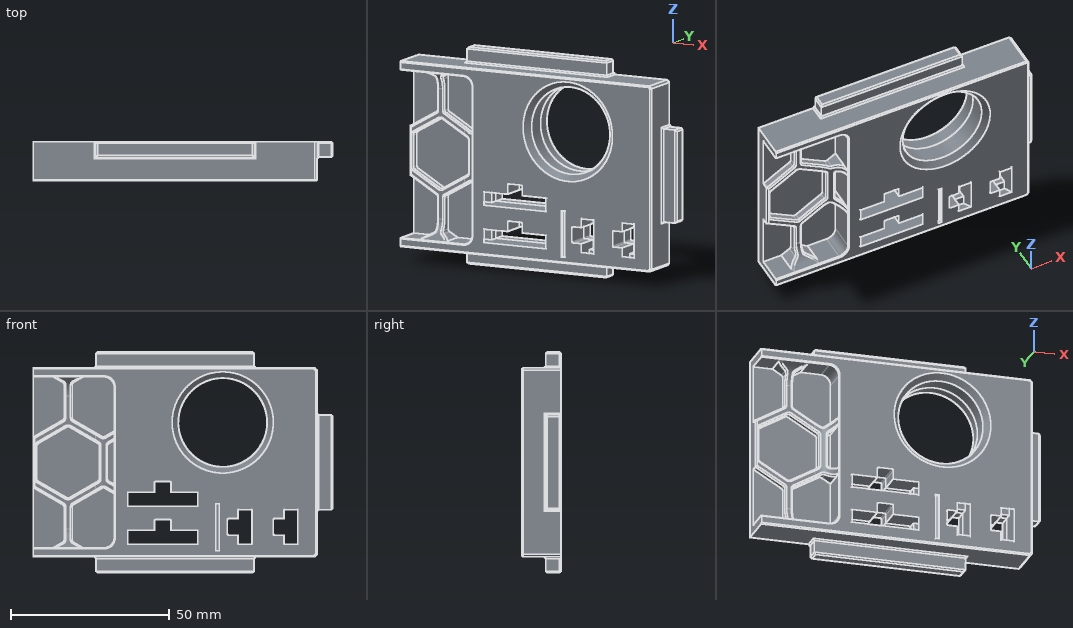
import cadquery as cq
import math

plate_length = 89.7
plate_depth = 12.4
plate_height = 59.8
edge_chamfer = 0.4
end_corner_chamfer = 0.8

chamfer_share = 0.99

tongue_reach = 5.0
tongue_thickness = 4.9
long_tongue_length = 50.0
end_tongue_length = 30.0
tongue_chamfer = 0.55
tongue_flare = 0.5

pocket_length = 25.6
pocket_wall = 2.9
pocket_depth = 9.0
pocket_corner_radius = 3.2
pocket_rim_chamfer = 0.3
pocket_height = plate_height - 2 * pocket_wall
rib_top_depth = 6.3
rib_sweep_radius = 6.0
rib_width = 2.5
rib_chamfer = 0.5
cell_width = 19.8
cell_corner_radius = 1.0
cell_center_x = 11.05
cell_pitch = cell_width + rib_width
cell_row_step = cell_pitch * math.sqrt(3) / 2

bore_x = 59.9
bore_z = 12.6
bore_radius = 14.0
bore_chamfer = 2.0

slot_bar_width = 4.3
slot_key_reach = 3.4
slot_key_width = 5.2
slot_key_radius = 0.4
long_slot_length = 22.0
short_slot_length = 10.8
slot_flare_depth = 5.2
slot_flare_slope = 0.6
long_slot_x = 40.95
long_slot_bases_z = (-13.8, -25.8)
short_slot_bases_x = (69.1, 83.6)
short_slot_z = -20.4

groove_x = 58.2
groove_z = -20.5
groove_width = 1.15
groove_length = 14.9
groove_depth = 1.0

insert_thickness = 4.4
insert_margin = 2.4
insert_front = plate_depth - insert_thickness
insert_left = pocket_length + insert_margin
insert_right = plate_length - insert_margin
insert_height = plate_height - 2 * insert_margin


def block(x_min, x_max, y_min, y_max, height):
    """Box between the given X and Y limits, centred on Z."""
    return (
        cq.Workplane("XY")
        .box(x_max - x_min, y_max - y_min, height, centered=(False, False, True))
        .translate((x_min, y_min, 0))
    )


def front_plane(depth=0.0):
    """Workplane parallel to the front face; positive extrusions run toward the front (-Y)."""
    return cq.Workplane("XZ", origin=(0, depth, 0))


def make_tongue(length):
    """Tongue along X that rises from Z = 0, with a flared foot and chamfered tip."""
    front = plate_depth - tongue_thickness
    tongue = (
        cq.Workplane("XY")
        .box(length, tongue_thickness, tongue_reach, centered=(True, False, False))
        .translate((0, front, 0))
        .edges(">Z or (|Z and >Y)")
        .chamfer(tongue_chamfer)
    )
    foot = (
        cq.Workplane("XY")
        .box(length + 2 * tongue_flare, tongue_thickness + tongue_flare, tongue_flare,
             centered=(True, False, False))
        .translate((0, front - tongue_flare, 0))
        .edges(">Z and (<X or >X or <Y)")
        .chamfer(tongue_flare * chamfer_share)
    )
    return tongue.union(foot)


def make_pocket():
    """Pocket volume with rounded inner corners and a rim that widens toward the front face."""
    outline = block(-pocket_length, pocket_length, 0, pocket_depth, pocket_height)
    rim = block(-pocket_length, pocket_length + pocket_rim_chamfer, 0, pocket_rim_chamfer,
                pocket_height + 2 * pocket_rim_chamfer)
    outline = outline.edges("|Y and >X").fillet(pocket_corner_radius)
    rim = rim.edges("|Y and >X").fillet(pocket_corner_radius + pocket_rim_chamfer)
    rim = rim.faces(">Y").edges("not <X").chamfer(pocket_rim_chamfer * chamfer_share)
    return outline.union(rim)


def make_cells():
    """Hexagonal cells, upright on their points, that surround and include the middle cell."""
    centers = [(cell_center_x, 0)]
    for side in (-1, 1):
        centers.append((cell_center_x + cell_pitch * side, 0))
        for row in (-1, 1):
            centers.append((cell_center_x + cell_pitch / 2 * side, cell_row_step * row))
    cell = (
        front_plane(pocket_depth)
        .transformed(rotate=(0, 0, 30))
        .polygon(6, cell_width * 2 / math.sqrt(3))
        .extrude(pocket_depth)
        .edges("|Y")
        .fillet(cell_corner_radius)
    )
    cells = cell.translate((centers[0][0], 0, centers[0][1]))
    for x, z in centers[1:]:
        cells = cells.union(cell.translate((x, 0, z)))
    return cells


def rib_top_edges():
    """Selector for the outer edges of the rib tops, without the lines where the sweeps begin."""
    gap = 0.01
    half_height = pocket_height / 2
    sweep_x = pocket_length - rib_sweep_radius
    inside = cq.selectors.BoxSelector(
        (-gap, gap, gap - half_height),
        (pocket_length - gap, rib_top_depth + gap, half_height - gap),
    )
    side_sweep_start = cq.selectors.BoxSelector(
        (sweep_x - gap, 0, -half_height), (sweep_x + gap, pocket_depth, half_height)
    )
    return inside - side_sweep_start - cq.selectors.StringSyntaxSelector("|X")


def make_ribs():
    """Honeycomb ribs whose tops sweep up to the pocket walls."""
    clearance = (
        block(-pocket_length, pocket_length, -rib_sweep_radius, rib_top_depth, pocket_height)
        .edges(">Y and (>X or >Z or <Z)")
        .fillet(rib_sweep_radius)
    )
    ribs = block(0, pocket_length, 0, pocket_depth, pocket_height).cut(clearance)
    ribs = ribs.cut(make_cells())
    return ribs.edges(rib_top_edges()).chamfer(rib_chamfer)


def slot_outline(length):
    """Slot outline in local axes: bar along X with its base on Z = 0 and its key upward."""
    half_bar = length / 2
    half_key = slot_key_width / 2
    key_top = slot_bar_width + slot_key_reach
    return [
        (-half_bar, 0), (half_bar, 0), (half_bar, slot_bar_width), (half_key, slot_bar_width),
        (half_key, key_top), (-half_key, key_top), (-half_key, slot_bar_width),
        (-half_bar, slot_bar_width),
    ]


def make_slot(length):
    """Through slot with its base on Z = 0, centred on X."""
    passage = (
        front_plane(plate_depth)
        .polyline(slot_outline(length)).close()
        .extrude(plate_depth)
        .edges("|Y and >Z")
        .fillet(slot_key_radius)
    )
    front_half = length / 2
    back_half = front_half + slot_flare_depth * slot_flare_slope
    flare = (
        cq.Workplane("XY")
        .polyline([(-front_half, 0), (front_half, 0),
                   (back_half, slot_flare_depth), (-back_half, slot_flare_depth)])
        .close()
        .extrude(slot_bar_width)
    )
    return passage.union(flare)


def make_slots():
    """All the connector slots in place."""
    long_slot = make_slot(long_slot_length)
    short_slot = make_slot(short_slot_length).rotate((0, 0, 0), (0, 1, 0), -90)
    slots = [long_slot.translate((long_slot_x, 0, z)) for z in long_slot_bases_z]
    slots += [short_slot.translate((x, 0, short_slot_z)) for x in short_slot_bases_x]
    return slots


def make_bore():
    """Round bore with its countersink at the front face."""
    bore = front_plane(plate_depth).center(bore_x, bore_z).circle(bore_radius).extrude(plate_depth)
    countersink = cq.Solid.makeCone(
        bore_radius + bore_chamfer, bore_radius, bore_chamfer,
        pnt=cq.Vector(bore_x, 0, bore_z), dir=cq.Vector(0, 1, 0),
    )
    return bore.union(cq.Workplane(obj=countersink))


def make_insert_block():
    """Insert without its openings, which is also the recess that holds it."""
    return block(insert_left, insert_right, insert_front, plate_depth, insert_height)


def make_plate(openings):
    """Plate with tongues, ribbed pocket, insert recess, groove and the given openings."""
    plate = block(0, plate_length, 0, plate_depth, plate_height)
    plate = plate.edges("|Y and >X").chamfer(end_corner_chamfer)
    plate = plate.faces("<Y").edges("not <X").chamfer(edge_chamfer)

    long_tongue = make_tongue(long_tongue_length).translate((plate_length / 2, 0, plate_height / 2))
    end_tongue = (
        make_tongue(end_tongue_length)
        .rotate((0, 0, 0), (0, 1, 0), 90)
        .translate((plate_length, 0, 0))
    )
    plate = plate.union(long_tongue).union(long_tongue.mirror("XY")).union(end_tongue)

    plate = plate.cut(make_pocket()).union(make_ribs())

    plate = plate.cut(make_insert_block())
    for opening in openings:
        plate = plate.cut(opening)
    groove = front_plane(groove_depth).center(groove_x, groove_z).rect(groove_width, groove_length)
    return plate.cut(groove.extrude(groove_depth))


def make_insert(openings):
    """Insert pierced by the same openings as the plate."""
    insert = make_insert_block()
    for opening in openings:
        insert = insert.cut(opening)
    return insert


openings = [make_bore(), *make_slots()]
plate = make_plate(openings)
insert = make_insert(openings)

result = cq.Compound.makeCompound([plate.val(), insert.val()])